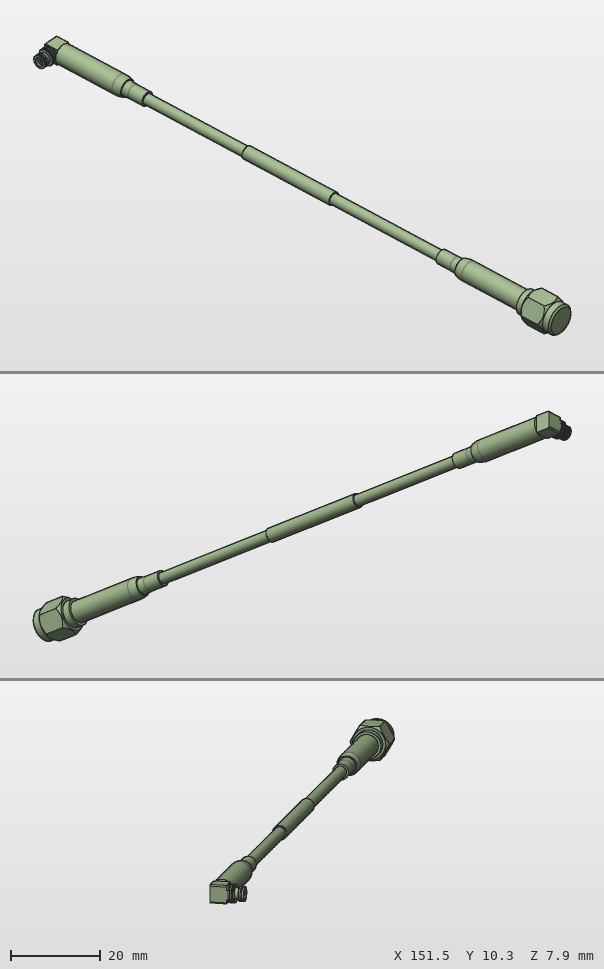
import cadquery as cq
import math

total_length = 151.5
cable_radius = 1.4

marker_start = 58.3
marker_length = 25.8
marker_radius = 1.7

boot_barrel_radius = 2.5
boot_barrel_length = 16.8
boot_shoulder_radius = 2.3
boot_shoulder_length = 2.3
boot_neck_radius = 2.0
boot_neck_length = 1.8
boot_tail_radius = 1.8
boot_tail_length = 4.1
boot_bulge = 0.12

block_length = 3.8
block_width = 3.8
block_height = 4.2
block_chamfer = 0.3
plug_x = 1.8
flange_radius = block_height / 2
flange_end = 3.6
flange_groove_radius = 1.8
flange_groove_starts = (2.3, 3.0)
flange_groove_width = 0.3
plug_neck_radius = 1.4
plug_neck_length = 0.9
plug_tip_radius = 1.7
plug_tip_length = 1.2
plug_groove_radius = 1.5
plug_groove_start = 5.0
plug_groove_width = 0.3
plug_bore_radius = 1.0
plug_end = flange_end + plug_neck_length + plug_tip_length
insulator_recess = 0.6
contact_radius = 0.38
contact_recess = 0.2

collar_radius = 3.2
collar_length = 1.8
nut_flats = 7.9
nut_rim_radius = 3.8
nut_rim_length = 2.1
nut_rim_chamfer = 0.5
nut_corner_angle = 50.0

nut_corner_diameter = nut_flats / math.cos(math.pi / 6)
collar_start = 141.0
nut_start = collar_start + collar_length
nut_hex_length = total_length - nut_rim_length - nut_start


def cylinder_along_x(start, length, radius):
    return cq.Workplane("YZ", origin=(start, 0, 0)).circle(radius).extrude(length)


def cylinder_towards_front(start, end, radius):
    """Cylinder on the plug axis between two distances in front of the cable axis."""
    return cq.Workplane("XZ", origin=(plug_x, -start, 0)).circle(radius).extrude(end - start)


def make_cable():
    return cylinder_along_x(block_length, collar_start - block_length, cable_radius)


def make_marker():
    sleeve = cylinder_along_x(marker_start, marker_length, marker_radius)
    return sleeve.cut(cylinder_along_x(marker_start, marker_length, cable_radius))


def make_boot(start, direction):
    """Boot that starts against a connector and tapers along the cable, direction +1 or -1."""
    barrel_end = start + direction * boot_barrel_length
    shoulder_end = barrel_end + direction * boot_shoulder_length
    neck_end = shoulder_end + direction * boot_neck_length
    tail_end = neck_end + direction * boot_tail_length
    shoulder_middle = (
        (barrel_end + shoulder_end) / 2,
        (boot_barrel_radius + boot_shoulder_radius) / 2 + boot_bulge,
    )
    return (
        cq.Workplane("XY")
        .moveTo(start, cable_radius)
        .lineTo(start, boot_barrel_radius)
        .lineTo(barrel_end, boot_barrel_radius)
        .threePointArc(shoulder_middle, (shoulder_end, boot_shoulder_radius))
        .lineTo(shoulder_end, boot_neck_radius)
        .lineTo(neck_end, boot_tail_radius)
        .lineTo(tail_end, boot_tail_radius)
        .lineTo(tail_end, cable_radius)
        .close()
        .revolve(360, (0, 0, 0), (1, 0, 0))
    )


def make_ring_groove(start, width, outer_radius, groove_radius):
    """Ring of material to cut from a cylinder on the plug axis."""
    end = start + width
    return cylinder_towards_front(start, end, outer_radius).cut(cylinder_towards_front(start, end, groove_radius))


def make_angle_block():
    """Block with two end edges broken, and a grooved round flange cut flush with the block's sides."""
    block = (
        cq.Workplane("XY")
        .box(block_length, block_width, block_height)
        .translate((block_length / 2, 0, 0))
        .edges("<X and |Y")
        .chamfer(block_chamfer)
    )
    flange = cylinder_towards_front(block_width / 2, flange_end, flange_radius)
    for groove_start in flange_groove_starts:
        flange = flange.cut(
            make_ring_groove(groove_start, flange_groove_width, flange_radius, flange_groove_radius)
        )
    side_limits = (
        cq.Workplane("XY").box(block_length, 2 * flange_end, block_height).translate((block_length / 2, 0, 0))
    )
    return block.union(flange.intersect(side_limits))


def make_plug_shell():
    neck_end = flange_end + plug_neck_length
    neck = cylinder_towards_front(flange_end, neck_end, plug_neck_radius)
    tip = cylinder_towards_front(neck_end, plug_end, plug_tip_radius)
    groove = make_ring_groove(plug_groove_start, plug_groove_width, plug_tip_radius, plug_groove_radius)
    bore = cylinder_towards_front(flange_end, plug_end, plug_bore_radius)
    return neck.union(tip).cut(groove).cut(bore)


def make_insulator():
    end = plug_end - insulator_recess
    disc = cylinder_towards_front(flange_end, end, plug_bore_radius)
    return disc.cut(cylinder_towards_front(flange_end, end, contact_radius))


def make_contact():
    return cylinder_towards_front(flange_end, plug_end - contact_recess, contact_radius)


def make_collar():
    return cylinder_along_x(collar_start, collar_length, collar_radius)


def make_nut():
    """Nut whose hexagon has flats at the top and bottom, its corners turned down to cones, and a round rim."""
    hexagon = (
        cq.Workplane("YZ", origin=(nut_start, 0, 0))
        .polygon(6, nut_corner_diameter)
        .extrude(nut_hex_length)
    )
    corner_radius = nut_corner_diameter / 2
    cone_depth = corner_radius - nut_rim_radius
    cone_length = cone_depth * math.tan(math.radians(nut_corner_angle))
    turned = cylinder_along_x(nut_start, nut_hex_length, corner_radius).edges().chamfer(cone_length, cone_depth)
    rim = cylinder_along_x(nut_start + nut_hex_length, nut_rim_length, nut_rim_radius)
    return hexagon.intersect(turned).union(rim.faces(">X").chamfer(nut_rim_chamfer))


cable = make_cable()
marker = make_marker()
boots = [make_boot(start, direction) for start, direction in ((block_length, 1), (collar_start, -1))]
angle_block = make_angle_block()
plug_shell = make_plug_shell()
insulator = make_insulator()
contact = make_contact()
collar = make_collar()
nut = make_nut()

result = cq.Compound.makeCompound(
    [
        cable.val(),
        marker.val(),
        *[boot.val() for boot in boots],
        angle_block.val(),
        plug_shell.val(),
        insulator.val(),
        contact.val(),
        collar.val(),
        nut.val(),
    ]
)